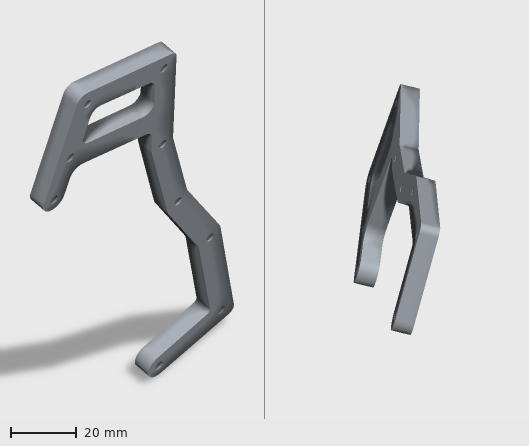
import cadquery as cq
import math

thickness = 6.0
hole_diameter = 3.1
end_radius = 4.5
window_radius = 3.5
bend_radius = 5.5

foot_center = (31.3, end_radius)
foot_angle = -7.8
finger_center = (75.2, 130.2)
finger_angle = -70.0

heel = (-0.3, 4.1)
back_knee = (5.7, 52.3)
back_bend = (19.6, 83.8)
back_shoulder = (25.5, 115.9)
head_back = (24.0, 158.5)
head_front = (64.5, 173.2)

finger_root = (67.1, 139.1)
head_root = (34.5, 127.0)
front_shoulder = (34.5, 116.4)
front_bend = (27.7, 79.2)
front_knee = (14.6, 49.4)
foot_root = (9.8, 12.2)

corner_fillets = [
    (heel, 2.5),
    (head_back, 3.0),
    (head_front, 3.6),
    (finger_root, 4.3),
    (head_root, 3.5),
    (foot_root, 1.4),
]

arm_bends = [back_knee, back_bend, back_shoulder, front_shoulder, front_bend, front_knee]

window_corners = [(33.2, 152.0), (58.9, 161.7), (64.2, 147.4), (33.4, 136.4)]

hole_centers = [
    (61.3, 166.3),
    (29.3, 155.0),
    (68.5, 145.5),
    (29.8, 116.5),
    (23.4, 81.3),
    (10.0, 50.3),
    (5.3, 8.8),
    foot_center,
    finger_center,
]


def to_plane(point):
    """Turn a profile point into local coordinates of the YZ workplane."""
    return (-point[0], point[1])


def around_end(center, angle):
    """Point on a rounded end, at the given angle in degrees."""
    radians = math.radians(angle)
    return (
        center[0] + end_radius * math.cos(radians),
        center[1] + end_radius * math.sin(radians),
    )


def add_lines(sketch, points):
    for point in points:
        sketch = sketch.lineTo(*to_plane(point))
    return sketch


def add_round_end(sketch, center, angle):
    """Half circle about center, bulging along the given angle in degrees."""
    start, middle, end = [around_end(center, angle + side) for side in (90, 0, -90)]
    sketch = sketch.lineTo(*to_plane(start))
    return sketch.threePointArc(to_plane(middle), to_plane(end))


def fillet_corner(body, point, radius):
    """Round the edge that runs through the plate at one outline corner."""
    corner = (thickness / 2, -point[0], point[1])
    edge = body.edges("|X").edges(cq.selectors.NearestToPointSelector(corner))
    return edge.fillet(radius)


def make_plate():
    outline = cq.Workplane("YZ").moveTo(*to_plane(heel))
    outline = add_lines(outline, [back_knee, back_bend, back_shoulder, head_back, head_front])
    outline = add_round_end(outline, finger_center, finger_angle)
    outline = add_lines(
        outline,
        [finger_root, head_root, front_shoulder, front_bend, front_knee, foot_root],
    )
    outline = add_round_end(outline, foot_center, foot_angle)
    plate = outline.close().extrude(thickness)
    for point, radius in corner_fillets:
        plate = fillet_corner(plate, point, radius)
    for point in arm_bends:
        plate = fillet_corner(plate, point, bend_radius)
    return plate


def make_window():
    corners = [to_plane(point) for point in window_corners]
    window = cq.Workplane("YZ").polyline(corners).close().extrude(thickness)
    return window.edges("|X").fillet(window_radius)


def make_holes():
    centers = [to_plane(point) for point in hole_centers]
    return cq.Workplane("YZ").pushPoints(centers).circle(hole_diameter / 2).extrude(thickness)


result = make_plate().cut(make_window()).cut(make_holes())